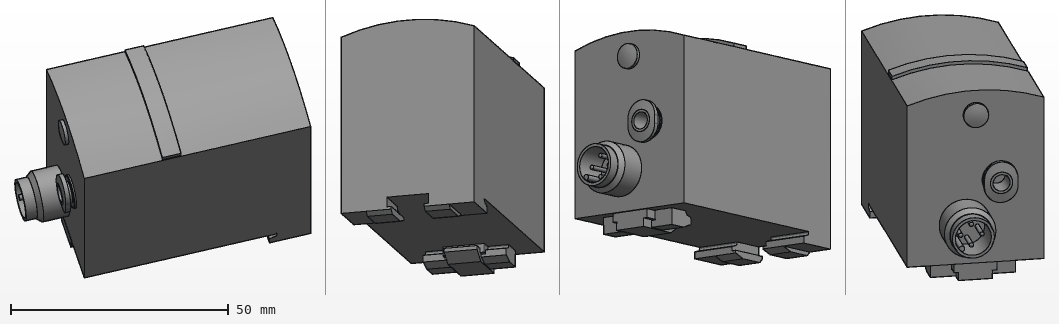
import cadquery as cq
import math


WIDTH = 32.0
DEPTH = 54.0
BASE_Z = 4.1
EAVES_Z = 43.25
CREST_Z = 46.0

BAND_THICKNESS = 0.8
BAND_INSET = 0.2
BAND_FRONT_Y = 18.7
BAND_LENGTH = 4.5

FOOT_WIDTH = 20.0
FOOT_BOTTOM_Z = 0.2
HOOK_TIP_Y = 44.15
GUIDE_TIP_Y = 10.1
GUIDE_FRONT_Y = 3.0
TIP_LOW_Z = 1.15
TIP_HIGH_Z = 2.75
NOTCH_DEPTH = 1.8
NOTCH_RADIUS = 0.7
NOTCH_RISE = 0.4
TAPER_LENGTH = 2.75

FLANGE_WIDTH = 10.0
STEM_WIDTH = 7.95
FLANGE_BOTTOM_Z = 2.0
FLANGE_TOP_GAP = 0.05
LEDGE_GAP = 0.2
CLIP_FRONT_Y = 0.2
FLANGE_BACK_Y = 11.1
FLANGE_FILLET = 0.2
CLIP_TIP_Y = 13.3
CLIP_TIP_LOW_Z = 2.1
CLIP_TIP_HIGH_Z = 3.0
CLIP_RAMP_Y = 10.4

BUTTON_X, BUTTON_Z = 0.0, 40.1
BUTTON_DIAMETER = 5.8
BUTTON_RIM = 0.8
BUTTON_HEIGHT = 1.3

JACK_X, JACK_Z = 5.5, 24.1
COLLAR_DIAMETER = 8.0
COLLAR_HEIGHT = 0.6
COLLAR_CHAMFER = 0.2
TUBE_DIAMETER = 5.2
TUBE_HEIGHT = 2.9
OBLONG_START = 1.4
OBLONG_RIM = 2.4
OBLONG_CROWN = 3.0
OBLONG_WIDTH = 7.8
OBLONG_HEIGHT = 9.8
JACK_BORE_DIAMETER = 4.0
JACK_BORE_DEPTH = 5.75

PLUG_X, PLUG_Z = -2.5, 13.7
PLUG_DIAMETER = 12.0
PLUG_CONE_END_DIAMETER = 10.0
PLUG_NOSE_DIAMETER = 9.8
PLUG_BORE_DIAMETER = 8.4
PLUG_BODY_LENGTH = 6.15
PLUG_CONE_LENGTH = 1.2
PLUG_LENGTH = 10.0
PLUG_BORE_DEPTH = 8.0
PIN_COUNT = 4
PIN_DIAMETER = 1.0
PIN_CIRCLE_RADIUS = 2.5
PIN_LENGTH = 5.9
PIN_TIP_LENGTH = 0.25
KEY_DIAMETER = 1.35
KEY_CIRCLE_RADIUS = 3.7
KEY_ANGLE = 225
KEY_LENGTH = 7.6


def box(x_size, y_start, y_end, z_start, z_end):
    """Box centred on X = 0."""
    size = (x_size, y_end - y_start, z_end - z_start)
    return cq.Workplane("XY").box(*size, centered=(True, False, False)).translate((0, y_start, z_start))


def front_plane(x, z, height=0.0):
    """Plane parallel to the front face, `height` in front of it, with its normal pointing outwards."""
    return cq.Workplane("XZ", origin=(x, -height, z))


def turning_plane(x, z):
    """Plane of (radius, height in front of the face) for outlines turned about an axis normal to the face."""
    return cq.Plane(origin=(x, 0, z), xDir=(1, 0, 0), normal=(0, 0, -1))


def domed(x, z, radius, base, rim, crown):
    """Round boss from `base` whose end bulges from `rim` at its edge to `crown` on its axis."""
    sphere_radius = (radius**2 + (crown - rim) ** 2) / (2 * (crown - rim))
    half_radius = radius / 2
    arc_mid = (half_radius, crown - sphere_radius + math.sqrt(sphere_radius**2 - half_radius**2))
    return (
        cq.Workplane(turning_plane(x, z))
        .moveTo(0, base)
        .lineTo(radius, base)
        .lineTo(radius, rim)
        .threePointArc(arc_mid, (0, crown))
        .close()
        .revolve(360, (0, 0), (0, 1))
    )


def make_block():
    half = WIDTH / 2
    return (
        cq.Workplane("XZ")
        .moveTo(-half, BASE_Z)
        .lineTo(half, BASE_Z)
        .lineTo(half, EAVES_Z)
        .threePointArc((0, CREST_Z), (-half, EAVES_Z))
        .close()
        .extrude(-DEPTH)
    )


def make_band():
    """Curved strip that follows the roof, BAND_THICKNESS above it."""
    rise = CREST_Z - EAVES_Z
    roof_radius = ((WIDTH / 2) ** 2 + rise**2) / (2 * rise)
    strip = (
        cq.Workplane("XZ", origin=(0, BAND_FRONT_Y, CREST_Z - roof_radius))
        .circle(roof_radius + BAND_THICKNESS)
        .extrude(-BAND_LENGTH)
    )
    strip_limits = box(
        WIDTH - 2 * BAND_INSET, BAND_FRONT_Y, BAND_FRONT_Y + BAND_LENGTH, EAVES_Z, CREST_Z + BAND_THICKNESS
    )
    return strip.intersect(strip_limits)


def make_foot(tip_y, end_y, width):
    """Foot with a rail notch above its tip; it runs along Y from the tip to its plain end."""
    run = math.copysign(1, end_y - tip_y)
    root_y = tip_y + run * NOTCH_DEPTH
    slope_end_y = root_y - run * NOTCH_RADIUS
    slope_end_z = TIP_HIGH_Z + NOTCH_RISE
    fillet_mid = (
        slope_end_y + run * NOTCH_RADIUS * math.sin(math.pi / 4),
        slope_end_z + NOTCH_RADIUS * (1 - math.cos(math.pi / 4)),
    )
    return (
        cq.Workplane("YZ")
        .moveTo(root_y, BASE_Z)
        .lineTo(root_y, slope_end_z + NOTCH_RADIUS)
        .threePointArc(fillet_mid, (slope_end_y, slope_end_z))
        .lineTo(tip_y, TIP_HIGH_Z)
        .lineTo(tip_y, TIP_LOW_Z)
        .lineTo(tip_y + run * TAPER_LENGTH, FOOT_BOTTOM_Z)
        .lineTo(end_y, FOOT_BOTTOM_Z)
        .lineTo(end_y, BASE_Z)
        .close()
        .extrude(width / 2, both=True)
    )


def make_hook():
    """Back foot: as wide as the block above TIP_LOW_Z, and FOOT_WIDTH wide below it."""
    heel = TIP_LOW_Z - FOOT_BOTTOM_Z
    hook = make_foot(HOOK_TIP_Y, DEPTH, WIDTH).faces(">Y").edges("<Z").chamfer(heel)
    upper = box(WIDTH, HOOK_TIP_Y, DEPTH, TIP_LOW_Z, BASE_Z)
    pad = box(FOOT_WIDTH, HOOK_TIP_Y, DEPTH, FOOT_BOTTOM_Z, BASE_Z)
    return hook.intersect(upper.union(pad))


def make_channel():
    """T-shaped channel for the clip, through the guides and the hook."""
    flange_space = box(FLANGE_WIDTH, 0, DEPTH, FLANGE_BOTTOM_Z - LEDGE_GAP, BASE_Z)
    stem_space = box(STEM_WIDTH, 0, DEPTH, 0, BASE_Z)
    return flange_space.union(stem_space)


def make_button():
    return domed(BUTTON_X, BUTTON_Z, BUTTON_DIAMETER / 2, 0, BUTTON_RIM, BUTTON_HEIGHT)


def make_jack():
    collar = (
        front_plane(JACK_X, JACK_Z)
        .circle(COLLAR_DIAMETER / 2)
        .extrude(COLLAR_HEIGHT)
        .faces("<Y")
        .chamfer(COLLAR_CHAMFER)
    )
    tube = front_plane(JACK_X, JACK_Z).circle(TUBE_DIAMETER / 2).extrude(TUBE_HEIGHT)
    oblong = (
        front_plane(JACK_X, JACK_Z, OBLONG_START)
        .slot2D(OBLONG_HEIGHT, OBLONG_WIDTH, 90)
        .extrude(OBLONG_CROWN)
    )
    dome = domed(JACK_X, JACK_Z, OBLONG_HEIGHT / 2, OBLONG_START, OBLONG_RIM, OBLONG_CROWN)
    above_tube = front_plane(JACK_X, JACK_Z, TUBE_HEIGHT).circle(TUBE_DIAMETER / 2).extrude(OBLONG_CROWN)
    return collar.union(tube).union(oblong.intersect(dome)).cut(above_tube)


def make_jack_bore():
    return front_plane(JACK_X, JACK_Z, TUBE_HEIGHT).circle(JACK_BORE_DIAMETER / 2).extrude(-JACK_BORE_DEPTH)


def make_plug():
    """Stepped barrel of the connector; a narrow step parts its cone from its nose."""
    cone_end = PLUG_BODY_LENGTH + PLUG_CONE_LENGTH
    outline = [
        (0, 0),
        (PLUG_DIAMETER / 2, 0),
        (PLUG_DIAMETER / 2, PLUG_BODY_LENGTH),
        (PLUG_CONE_END_DIAMETER / 2, cone_end),
        (PLUG_NOSE_DIAMETER / 2, cone_end),
        (PLUG_NOSE_DIAMETER / 2, PLUG_LENGTH),
        (0, PLUG_LENGTH),
    ]
    return cq.Workplane(turning_plane(PLUG_X, PLUG_Z)).polyline(outline).close().revolve(360, (0, 0), (0, 1))


def make_plug_bore():
    return front_plane(PLUG_X, PLUG_Z, PLUG_LENGTH).circle(PLUG_BORE_DIAMETER / 2).extrude(-PLUG_BORE_DEPTH)


def on_plug_circle(radius, angle):
    """X and Z of a point around the connector's axis, at an angle in degrees from +X."""
    turn = math.radians(angle)
    return PLUG_X + radius * math.cos(turn), PLUG_Z + radius * math.sin(turn)


def make_plug_contacts():
    """Four domed pins and a round key, all standing on the floor of the bore."""
    floor = PLUG_LENGTH - PLUG_BORE_DEPTH
    pin_end = floor + PIN_LENGTH
    key_x, key_z = on_plug_circle(KEY_CIRCLE_RADIUS, KEY_ANGLE)
    key_blank = front_plane(key_x, key_z).circle(KEY_DIAMETER / 2).extrude(floor + KEY_LENGTH)
    contacts = key_blank.intersect(make_plug())
    for index in range(PIN_COUNT):
        pin_x, pin_z = on_plug_circle(PIN_CIRCLE_RADIUS, index * 360 / PIN_COUNT)
        pin = domed(pin_x, pin_z, PIN_DIAMETER / 2, floor, pin_end - PIN_TIP_LENGTH, pin_end)
        contacts = contacts.union(pin)
    return contacts


def make_housing():
    guides = make_foot(GUIDE_TIP_Y, GUIDE_FRONT_Y, FOOT_WIDTH)
    housing = make_block().union(make_band()).union(guides).union(make_hook()).cut(make_channel())
    housing = housing.union(make_button())
    housing = housing.union(make_jack()).cut(make_jack_bore())
    return housing.union(make_plug()).cut(make_plug_bore()).union(make_plug_contacts())


def make_clip():
    """Sliding clip: a stem with a ramped tip, and a flange held above the guides' ledges."""
    flange = (
        box(FLANGE_WIDTH, CLIP_FRONT_Y, FLANGE_BACK_Y, FLANGE_BOTTOM_Z, BASE_Z - FLANGE_TOP_GAP)
        .edges("|Z and >Y")
        .fillet(FLANGE_FILLET)
    )
    stem = (
        cq.Workplane("YZ")
        .polyline(
            [
                (CLIP_FRONT_Y, 0),
                (CLIP_RAMP_Y, 0),
                (CLIP_TIP_Y, CLIP_TIP_LOW_Z),
                (CLIP_TIP_Y, CLIP_TIP_HIGH_Z),
                (CLIP_FRONT_Y, CLIP_TIP_HIGH_Z),
            ]
        )
        .close()
        .extrude(STEM_WIDTH / 2, both=True)
    )
    return flange.union(stem)


housing = make_housing()
clip = make_clip()
result = cq.Compound.makeCompound([housing.solids().val(), clip.solids().val()])